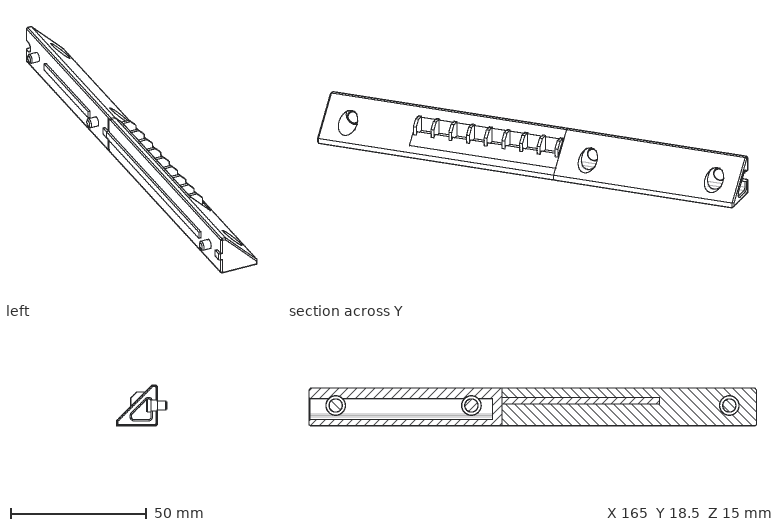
import cadquery as cq
import math

length = 165.0
depth = 15.0
height = 15.0
edge_flat = 2.0
front_chamfer = 0.5
end_chamfer = 0.55
slope_sum = depth + edge_flat
mid_z = height / 2

joint_x = 71.3
lap_x = 70.3
lap_depth = 2.0
lap_tip_margin = 1.2
lap_root_margin = 0.5
groove_width = 1.0
groove_depth = 0.58

front_wall = 2.3
cavity_end_x = 67.6
floor_wall = 2.3
slope_wall = 2.3
cavity_back = 9.5
cavity_fillet = 1.0
cavity_mouth_chamfer = 0.5

notch_radius = 2.0

strip_height = 2.6
strip_rise = 0.8
strip_root = 1.2
strip_seam_x = 69.8
left_strip_span = (17.2, 54.5)
left_block_span = (67.0, strip_seam_x)
right_strip_span = (strip_seam_x, 147.8)
right_block_span = (161.7, length)

left_screw_xs = (9.9, 59.9)
right_screw_xs = (155.0,)
shank_diameter = 3.5
shank_projection = 3.5
shank_chamfer = 0.5
head_diameter = 5.0
head_thickness = 1.6
head_chamfer = 0.3
head_hole_diameter = 7.1

terminal_end_x = 129.2
terminal_front_y = 4.8
terminal_back_y = 13.0
terminal_thickness = 4.1
rib_count = 9
rib_width = 1.2
rib_end_gap = 0.3
rib_pitch = (terminal_end_x - joint_x - 2 * rib_end_gap - rib_width) / (rib_count - 1)
rib_back_y = 9.9
rib_top_z = 12.5
rib_corner = 2.3
pocket_floor_z = 7.0
pocket_back_y = 8.9


def prism_along_x(points, start, end):
    """Prism whose outline is given as (Y, Z) points."""
    return cq.Workplane("YZ", origin=(start, 0, 0)).polyline(points).close().extrude(end - start)


def rod_along_y(x, diameter, start, end):
    """Cylinder at the middle height, from one Y to another."""
    plane = cq.Plane(origin=(x, start, mid_z), xDir=(1, 0, 0), normal=(0, 1, 0))
    return cq.Workplane(plane).circle(diameter / 2).extrude(end - start)


def bar(start, end):
    """Solid length of the bar's near-triangular section."""
    outline = [
        (front_chamfer, 0),
        (depth, 0),
        (depth, edge_flat),
        (edge_flat, height),
        (front_chamfer, height),
        (0, height - front_chamfer),
        (0, front_chamfer),
    ]
    return prism_along_x(outline, start, end)


def front_strip(span):
    """Raised strip on the front face."""
    start, end = span
    return (
        cq.Workplane("XY")
        .box(end - start, strip_rise + strip_root, strip_height, centered=(False, False, True))
        .translate((start, -strip_rise, mid_z))
    )


def front_lap():
    """Plate of the right housing that laps into the front of the left one."""
    outline = [
        (lap_x, lap_tip_margin),
        (joint_x, lap_root_margin),
        (joint_x, height - lap_root_margin),
        (lap_x, height - lap_tip_margin),
    ]
    return cq.Workplane("XZ").polyline(outline).close().extrude(-lap_depth)


def lap_groove():
    """Bevel on the left housing's front edge, next to the lap."""
    outline = [(lap_x - groove_width, 0), (lap_x, 0), (lap_x, groove_depth)]
    return (
        cq.Workplane("XY", origin=(0, 0, lap_tip_margin))
        .polyline(outline)
        .close()
        .extrude(height - 2 * lap_tip_margin)
    )


def cavity():
    """Triangular channel, parallel to the outside of the left housing."""
    roof_sum = slope_sum - slope_wall * math.sqrt(2)
    outline = [
        (front_wall, floor_wall),
        (cavity_back, floor_wall),
        (cavity_back, roof_sum - cavity_back),
        (front_wall, roof_sum - front_wall),
    ]
    return prism_along_x(outline, 0, cavity_end_x).edges("|X").fillet(cavity_fillet)


def wire_notch():
    """Round-ended notch through the front wall at the left end."""
    slot = (
        cq.Workplane("XY")
        .box(notch_radius, front_wall, 2 * notch_radius, centered=(False, False, True))
        .translate((0, 0, mid_z))
    )
    return slot.union(rod_along_y(notch_radius, 2 * notch_radius, 0, front_wall))


def screw_hole(x):
    """Shank hole with a wide hole for the head, open to the sloping face."""
    shank_hole = rod_along_y(x, shank_diameter, -strip_rise, front_wall)
    return shank_hole.union(rod_along_y(x, head_hole_diameter, front_wall, depth))


def make_left_housing():
    body = bar(0, joint_x).faces("<X").chamfer(end_chamfer)
    body = body.cut(cavity())
    mouth_edges = body.faces("<X").val().innerWires()[0].Edges()
    body = body.newObject(mouth_edges).chamfer(cavity_mouth_chamfer)
    body = body.cut(wire_notch()).cut(lap_groove())
    for x in left_screw_xs:
        body = body.cut(screw_hole(x))
    for span in (left_strip_span, left_block_span):
        body = body.union(front_strip(span))
    return body.cut(front_lap()).cut(front_strip(right_strip_span))


def terminal_blank():
    """Bar of the terminal strip, flush with the sloping face."""
    drop = terminal_thickness / math.sqrt(2)
    outline = [
        (terminal_front_y, slope_sum - terminal_front_y),
        (terminal_back_y, slope_sum - terminal_back_y),
        (terminal_back_y - drop, slope_sum - terminal_back_y - drop),
        (terminal_front_y - drop, slope_sum - terminal_front_y - drop),
    ]
    return prism_along_x(outline, joint_x, terminal_end_x)


def make_right_housing():
    body = bar(joint_x, length).faces(">X").chamfer(end_chamfer)
    body = body.union(front_lap()).cut(terminal_blank())
    for x in right_screw_xs:
        body = body.cut(screw_hole(x))
    end_block = front_strip(right_block_span).faces(">X").edges("<Y").chamfer(end_chamfer)
    return body.union(front_strip(right_strip_span)).union(end_block)


def make_screw(x):
    head = rod_along_y(x, head_diameter, front_wall, front_wall + head_thickness)
    head = head.faces(">Y").chamfer(head_chamfer)
    shank = rod_along_y(x, shank_diameter, -shank_projection, front_wall)
    return head.union(shank.faces("<Y").chamfer(shank_chamfer))


def make_terminal_strip():
    strip = terminal_blank()
    rib_outline = [
        (slope_sum - rib_top_z, rib_top_z),
        (rib_back_y - rib_corner, rib_top_z),
        (rib_back_y, rib_top_z - rib_corner),
        (rib_back_y, slope_sum - rib_back_y),
    ]
    pocket_back_z = slope_sum - pocket_back_y
    pocket_outline = [
        (pocket_back_y, pocket_back_z),
        (pocket_back_y - pocket_back_z + pocket_floor_z, pocket_floor_z),
        (terminal_front_y, pocket_floor_z),
        (terminal_front_y, slope_sum - terminal_front_y),
    ]
    first_rib_x = joint_x + rib_end_gap
    for i in range(rib_count):
        rib_x = first_rib_x + i * rib_pitch
        strip = strip.union(prism_along_x(rib_outline, rib_x, rib_x + rib_width))
    for i in range(rib_count - 1):
        rib_x = first_rib_x + i * rib_pitch
        strip = strip.cut(prism_along_x(pocket_outline, rib_x + rib_width, rib_x + rib_pitch))
    return strip


left_housing = make_left_housing()
right_housing = make_right_housing()
terminal_strip = make_terminal_strip()
screws = [make_screw(x) for x in left_screw_xs + right_screw_xs]

result = cq.Compound.makeCompound(
    [left_housing.val(), right_housing.val(), terminal_strip.val(), *[s.val() for s in screws]]
)